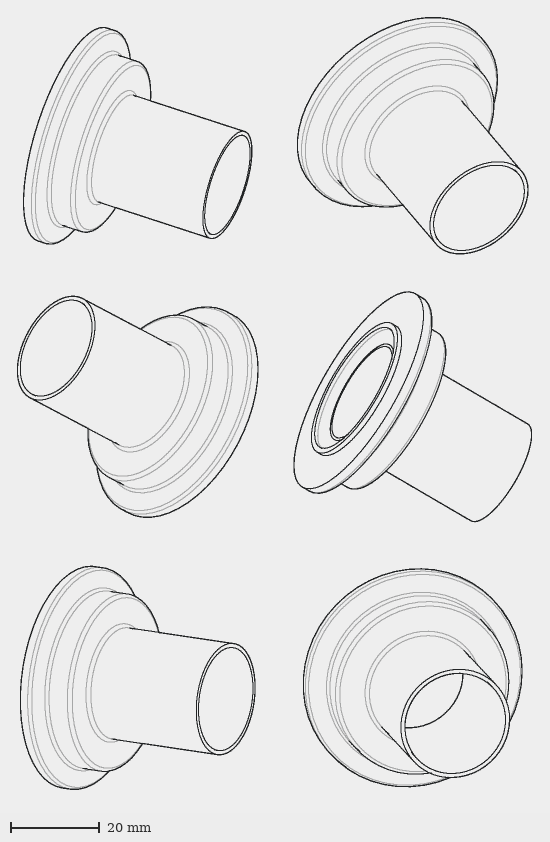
import cadquery as cq
import math

flange_radius = 25.25
hub_radius = 20.2
spigot_radius = 16.75
tube_radius = 12.7
bore_radius = 11.7
groove_outer_radius = 15.5
groove_inner_radius = 12.35

length = 40.0
flange_face = 1.15
rim_end = 3.15
hub_end = 11.3

taper_angle = math.radians(15)
rim_fillet = 0.75
neck_fillet = 0.8
hub_round = 0.8
tube_fillet = 0.8

groove_wall_depth = 0.85
land_depth = 2.05

round_inset_share = 1 - math.sqrt(0.5)


def revolve_about_x(profile):
    """Turn an (axial, radial) profile into a full solid of revolution."""
    return profile.close().revolve(360, (0, 0, 0), (1, 0, 0))


def make_body():
    rim_round_end = rim_end + rim_fillet * math.cos(taper_angle)
    rim_round_end_radius = flange_radius - rim_fillet * (1 - math.sin(taper_angle))
    half_turn = (math.pi / 2 + taper_angle) / 2
    rim_round_middle = (
        rim_end + rim_fillet * math.cos(half_turn),
        flange_radius - rim_fillet * (1 - math.sin(half_turn)),
    )
    neck_start_radius = hub_radius + neck_fillet * (1 - math.sin(taper_angle))
    neck_start = rim_round_end + (rim_round_end_radius - neck_start_radius) * math.tan(taper_angle)
    neck_end = neck_start + neck_fillet * math.cos(taper_angle)

    hub_inset = hub_round * round_inset_share
    tube_inset = tube_fillet * round_inset_share
    profile = (
        cq.Workplane("XY")
        .moveTo(0, 0)
        .lineTo(0, spigot_radius)
        .lineTo(flange_face, spigot_radius)
        .lineTo(flange_face, flange_radius)
        .lineTo(rim_end, flange_radius)
        .threePointArc(rim_round_middle, (rim_round_end, rim_round_end_radius))
        .lineTo(neck_start, neck_start_radius)
        .tangentArcPoint((neck_end, hub_radius), relative=False)
        .lineTo(hub_end - hub_round, hub_radius)
        .threePointArc(
            (hub_end - hub_inset, hub_radius - hub_inset),
            (hub_end, hub_radius - hub_round),
        )
        .lineTo(hub_end, tube_radius + tube_fillet)
        .threePointArc(
            (hub_end + tube_inset, tube_radius + tube_inset),
            (hub_end + tube_fillet, tube_radius),
        )
        .lineTo(length, tube_radius)
        .lineTo(length, 0)
    )
    return revolve_about_x(profile)


def make_cavity():
    profile = (
        cq.Workplane("XY")
        .moveTo(0, 0)
        .lineTo(0, groove_outer_radius)
        .lineTo(groove_wall_depth, groove_outer_radius)
        .tangentArcPoint((land_depth, groove_inner_radius), relative=False)
        .lineTo(land_depth, bore_radius)
        .lineTo(length, bore_radius)
        .lineTo(length, 0)
    )
    return revolve_about_x(profile)


result = make_body().cut(make_cavity())